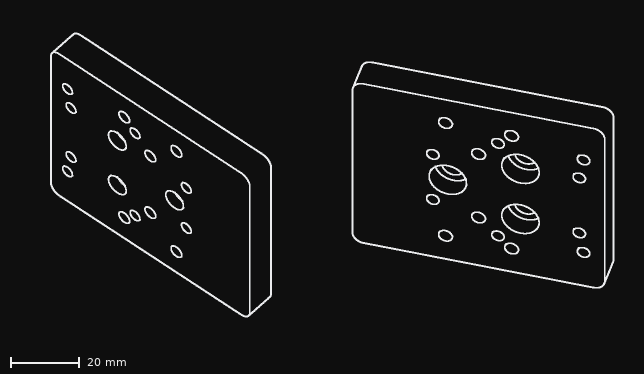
import cadquery as cq

WIDTH = 76.2
THICKNESS = 9.5
HEIGHT = 63.5
CORNER_RADIUS = 3.35

FRONT_Y = -THICKNESS / 2
BACK_Y = THICKNESS / 2

SMALL_DIAMETER = 3.7
MEDIUM_DIAMETER = 4.1

BOLT_DIAMETER = 6.8
COUNTERBORE_DIAMETER = 11.3
BOLT_LAND = 3.5
COUNTERBORE_DEPTH = THICKNESS - BOLT_LAND


def mirrored(upper_points):
    """Return the points together with their mirror images below the horizontal centreline."""
    return upper_points + [(x, -z) for x, z in upper_points]


small_centres = mirrored([(-31.7, 18.45), (-30.4, 11.0), (-5.9, 18.45), (13.8, 9.0)])
medium_centres = mirrored([(-10.0, 22.5), (10.0, 22.5), (0, 12.65)])
bolt_centres = mirrored([(-12.65, 10.0)]) + [(9.3, 0)]


def cylinders(centres, diameter, start_y, length):
    """Return equal cylinders that run from start_y towards +Y."""
    plane = cq.Workplane("XZ", origin=(0, start_y, 0))
    return plane.pushPoints(centres).circle(diameter / 2).extrude(-length)


plate = cq.Workplane("XY").box(WIDTH, THICKNESS, HEIGHT).edges("|Y").fillet(CORNER_RADIUS)

for centres, diameter in (
    (small_centres, SMALL_DIAMETER),
    (medium_centres, MEDIUM_DIAMETER),
    (bolt_centres, BOLT_DIAMETER),
):
    plate = plate.cut(cylinders(centres, diameter, FRONT_Y, THICKNESS))

counterbores = cylinders(bolt_centres, COUNTERBORE_DIAMETER, BACK_Y - COUNTERBORE_DEPTH, COUNTERBORE_DEPTH)
result = plate.cut(counterbores)